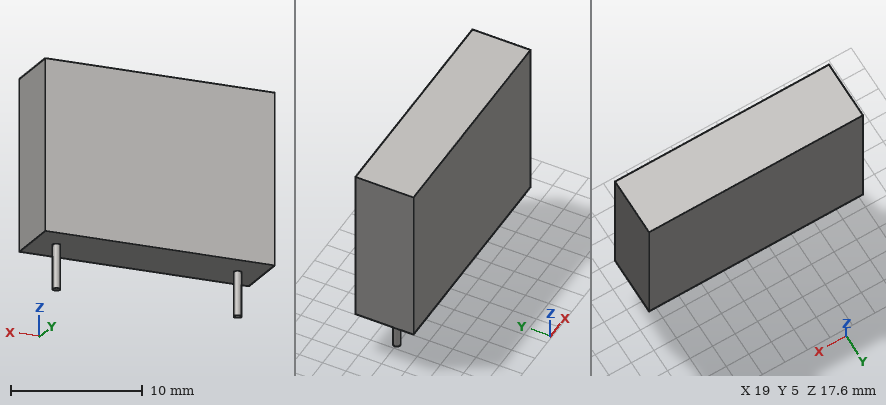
import cadquery as cq

body_length = 19.0
body_depth = 5.0
body_height = 14.0

lead_diameter = 0.6
lead_length = 3.6
lead_spacing = 15.0


def make_body():
    """Plain box standing on the XY plane."""
    return cq.Workplane("XY").box(body_length, body_depth, body_height, centered=(True, True, False))


def make_leads():
    """Two leads on the body's long centreline, reaching down from its underside."""
    lead_centres = [(side * lead_spacing / 2, 0) for side in (-1, 1)]
    return cq.Workplane("XY").pushPoints(lead_centres).circle(lead_diameter / 2).extrude(-lead_length)


result = make_body().union(make_leads())